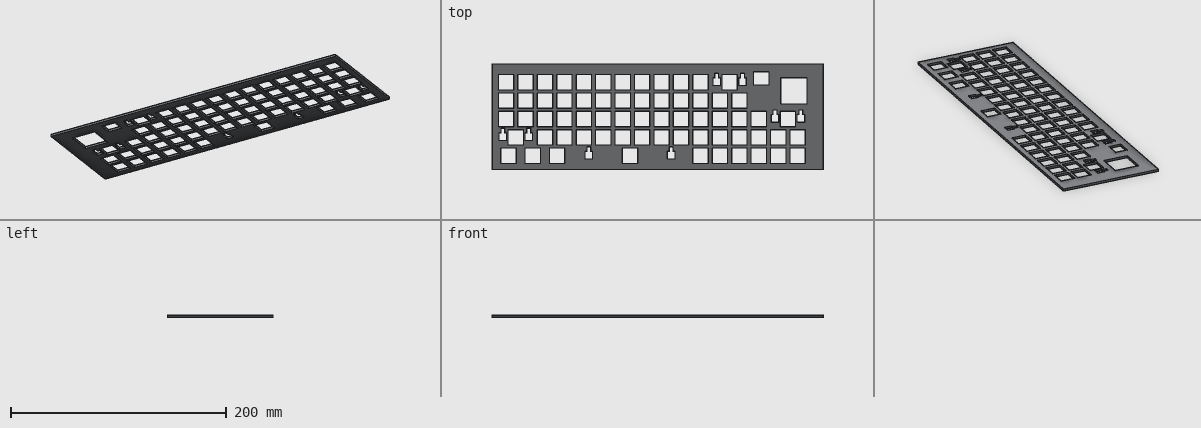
import cadquery as cq

PLATE_LENGTH = 306.7
PLATE_WIDTH = 97.9
PLATE_THICKNESS = 2.2

KEY_PITCH_X = 18.0
KEY_PITCH_Y = 17.0
SWITCH_SIZE = 14.0
LEFT_MARGIN = 12.9
FRONT_MARGIN = 12.85

BACKSPACE_COLUMN = 11.5
ENTER_COLUMN = 14.5
SHIFT_COLUMN = 0.5
SPACEBAR_COLUMN = 6.375

ROWS = [
    [*range(11), BACKSPACE_COLUMN],
    [*range(13)],
    [*range(14), ENTER_COLUMN],
    [SHIFT_COLUMN, *range(2, 16)],
    [0.125, 1.375, 2.625, SPACEBAR_COLUMN, *range(10, 16)],
]
FRONT_ROW = len(ROWS) - 1

SHORT_STABILIZER_OFFSET = 12.0
SPACEBAR_STABILIZER_OFFSET = 38.1
STABILIZED_KEYS = [
    (0, BACKSPACE_COLUMN, SHORT_STABILIZER_OFFSET),
    (2, ENTER_COLUMN, SHORT_STABILIZER_OFFSET),
    (3, SHIFT_COLUMN, SHORT_STABILIZER_OFFSET),
    (FRONT_ROW, SPACEBAR_COLUMN, SPACEBAR_STABILIZER_OFFSET),
]

SLOT_BODY_WIDTH = 6.75
SLOT_BODY_LENGTH = 7.0
SLOT_NECK_WIDTH = 3.4
SLOT_NECK_LENGTH = 4.2
SLOT_FRONT_OFFSET = 2.9

WINDOW_SIZE = 24.0
WINDOW_CENTER = (126.1, 23.9)

OPENING_LENGTH = 14.0
OPENING_WIDTH = 12.0
OPENING_CENTER = (95.8, 35.5)


def key_center(row, column):
    x = -PLATE_LENGTH / 2 + LEFT_MARGIN + column * KEY_PITCH_X
    y = -PLATE_WIDTH / 2 + FRONT_MARGIN + (FRONT_ROW - row) * KEY_PITCH_Y
    return x, y


def cut_rectangles(plate, centers, length, width):
    """Cut equal rectangles (length along X, width along Y) through the plate."""
    top = plate.faces(">Z").workplane(origin=(0, 0, 0))
    return top.pushPoints(centers).rect(length, width).cutThruAll()


def cut_switches(plate):
    centers = [key_center(row, column) for row, columns in enumerate(ROWS) for column in columns]
    return cut_rectangles(plate, centers, SWITCH_SIZE, SWITCH_SIZE)


def cut_stabilizers(plate):
    bodies = []
    necks = []
    for row, column, offset in STABILIZED_KEYS:
        key_x, key_y = key_center(row, column)
        body_front = key_y - SLOT_FRONT_OFFSET
        neck_front = body_front + SLOT_BODY_LENGTH
        for side in (-1, 1):
            slot_x = key_x + side * offset
            bodies.append((slot_x, body_front + SLOT_BODY_LENGTH / 2))
            necks.append((slot_x, neck_front + SLOT_NECK_LENGTH / 2))
    plate = cut_rectangles(plate, bodies, SLOT_BODY_WIDTH, SLOT_BODY_LENGTH)
    return cut_rectangles(plate, necks, SLOT_NECK_WIDTH, SLOT_NECK_LENGTH)


plate = cq.Workplane("XY").box(PLATE_LENGTH, PLATE_WIDTH, PLATE_THICKNESS)
plate = cut_switches(plate)
plate = cut_stabilizers(plate)
plate = cut_rectangles(plate, [WINDOW_CENTER], WINDOW_SIZE, WINDOW_SIZE)
plate = cut_rectangles(plate, [OPENING_CENTER], OPENING_LENGTH, OPENING_WIDTH)

result = plate.solids()